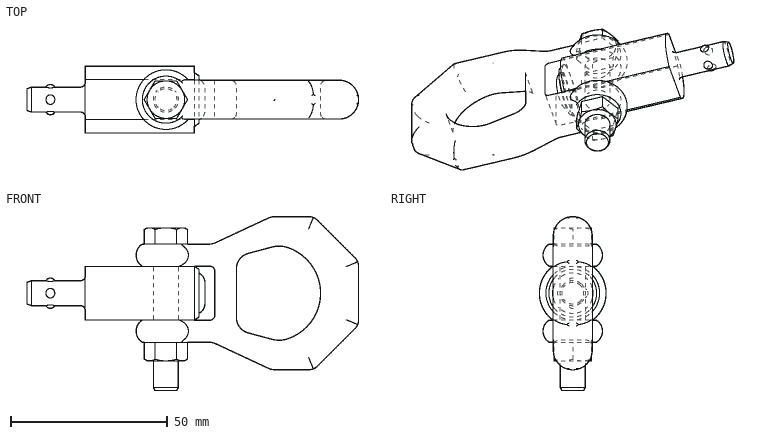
import cadquery as cq
import math


shank_tip_x = -44.5
shank_radius = 4.0
tip_chamfer_length = 1.5
tip_chamfer_depth = 0.5
root_fillet = 1.5
housing_left_x = -25.8
housing_right_x = 9.1
housing_radius = 10.7
housing_half_height = 8.6
ball_x = -37.0
ball_radius = 1.6
ball_reach = 4.9
button_base_radius = housing_half_height
button_rim_radius = 7.6
button_rim_x = 10.6
dome_base_radius = 6.5
dome_mid_radius = 5.5
dome_mid_x = 11.8
dome_flat_radius = 3.7
dome_top_x = 12.5

half_thickness = 6.3
ring_apothem = 24.5
ring_center_x = 37.2
ring_corner_radius = 3.7
arm_half_height = 15.7
shoulder_x = 33.8
shoulder_angle = 25.0
bend_radius = 5.0
arm_edge_fillet = 1.0
slot_end_x = 15.6
slot_corner_radius = 1.5

eye_left_x = 22.6
eye_right_x = 49.5
eye_flat_half = 7.9
eye_corner_radius = 5.0
eye_roof_angle = 15.0
eye_crown_radius = 8.7
eye_crown_x = 36.2
eye_edge_fillet = 2.0

boss_face_radius = 7.5
boss_radius = 9.6
bolt_radius = 4.0
hex_flats = 12.0
hex_chamfer_angle = 30.0
head_height = 5.2
nut_height = 6.0
bolt_end_z = -31.2
bolt_tip_length = 1.1
bolt_tip_depth = 0.5

pick_margin = 0.5


def make_balls():
    """Four locking balls around the shank."""
    center_radius = ball_reach - ball_radius
    balls = cq.Workplane("XY")
    for quarter in range(4):
        angle = math.radians(90 * quarter)
        center = (ball_x, center_radius * math.cos(angle), center_radius * math.sin(angle))
        balls = balls.union(cq.Workplane("XY").sphere(ball_radius).translate(center))
    return balls


def make_shank():
    """Chamfered shank that flares into the housing face through a concave fillet."""
    flare_x = housing_left_x - root_fillet
    flare_radius = shank_radius + root_fillet
    flare_offset = root_fillet * math.sin(math.pi / 4)
    return (
        cq.Workplane("XY")
        .moveTo(shank_tip_x, 0)
        .lineTo(shank_tip_x, shank_radius - tip_chamfer_depth)
        .lineTo(shank_tip_x + tip_chamfer_length, shank_radius)
        .lineTo(flare_x, shank_radius)
        .threePointArc(
            (flare_x + flare_offset, flare_radius - flare_offset),
            (housing_left_x, flare_radius),
        )
        .lineTo(housing_left_x, 0)
        .close()
        .revolve(360, (0, 0, 0), (1, 0, 0))
    )


def make_button():
    """Tapered disc with a flattened dome on the end of the housing."""
    return (
        cq.Workplane("XY")
        .moveTo(housing_right_x, 0)
        .lineTo(housing_right_x, button_base_radius)
        .lineTo(button_rim_x, button_rim_radius)
        .lineTo(button_rim_x, dome_base_radius)
        .threePointArc((dome_mid_x, dome_mid_radius), (dome_top_x, dome_flat_radius))
        .lineTo(dome_top_x, 0)
        .close()
        .revolve(360, (0, 0, 0), (1, 0, 0))
    )


def make_swivel():
    """Housing with two flats and a cross hole for the bolt, plus shank, balls and button."""
    length = housing_right_x - housing_left_x
    barrel = cq.Workplane("YZ").workplane(offset=housing_left_x).circle(housing_radius).extrude(length)
    flats = (
        cq.Workplane("YZ")
        .workplane(offset=housing_left_x)
        .rect(2 * housing_radius, 2 * housing_half_height)
        .extrude(length)
    )
    bolt_hole = cq.Workplane("XY").circle(bolt_radius).extrude(housing_radius, both=True)
    housing = barrel.intersect(flats).cut(bolt_hole)
    return housing.union(make_shank()).union(make_button()).union(make_balls())


def make_outline():
    """Plate outline: two arms that widen at the shoulders into half an octagon."""
    half_side = ring_apothem * math.tan(math.pi / 8)
    rise = ring_apothem - arm_half_height
    bend_x = shoulder_x - rise / math.tan(math.radians(shoulder_angle))
    upper = [
        (0, arm_half_height),
        (bend_x, arm_half_height),
        (shoulder_x, ring_apothem),
        (ring_center_x + half_side, ring_apothem),
        (ring_center_x + ring_apothem, half_side),
    ]
    lower = [(x, -z) for x, z in reversed(upper)]
    plate = cq.Workplane("XZ").polyline(upper + lower).close().extrude(half_thickness, both=True)
    arm_end_x = bend_x - bend_radius
    pick_z = ring_apothem + pick_margin
    shoulders = cq.selectors.BoxSelector(
        (arm_end_x, -pick_margin, -pick_z),
        (shoulder_x + pick_margin, pick_margin, pick_z),
    )
    plate = plate.edges("|Y").edges(shoulders).fillet(bend_radius)
    corners = cq.selectors.BoxSelector(
        (ring_center_x, -pick_margin, -pick_z),
        (ring_center_x + ring_apothem + pick_margin, pick_margin, pick_z),
    )
    return plate.edges("|Y").edges(corners).fillet(ring_corner_radius)


def make_rounded_slab(angle):
    """Slab with one half-round edge, which faces the given direction in the XZ plane."""
    reach = ring_center_x + 2 * ring_apothem
    edge_center = ring_apothem - half_thickness
    slab = (
        cq.Workplane("XY")
        .moveTo(-reach, -half_thickness)
        .lineTo(edge_center, -half_thickness)
        .threePointArc((ring_apothem, 0), (edge_center, half_thickness))
        .lineTo(-reach, half_thickness)
        .close()
        .extrude(reach, both=True)
    )
    return slab.rotate((0, 0, 0), (0, 1, 0), angle).translate((ring_center_x, 0, 0))


def make_slot():
    """Gap between the arms, which takes the housing."""
    return (
        cq.Workplane("XZ")
        .rect(2 * slot_end_x, 2 * housing_half_height)
        .extrude(half_thickness, both=True)
        .edges("|Y and >X")
        .fillet(slot_corner_radius)
    )


def make_eye():
    """Eye opening: flat left side, sloped roof and floor, and tangent arcs that close the right side."""
    roof = math.radians(eye_roof_angle)
    roof_normal = (-math.sin(roof), math.cos(roof))
    corner_x = eye_left_x + eye_corner_radius

    roof_offset = corner_x * roof_normal[0] + eye_flat_half * roof_normal[1] + eye_corner_radius
    crown_z = (roof_offset - eye_crown_radius - eye_crown_x * roof_normal[0]) / roof_normal[1]

    inner_x = eye_right_x - eye_crown_radius
    bow_x = (inner_x**2 - eye_crown_x**2 - crown_z**2) / (2 * (inner_x - eye_crown_x))
    bow_angle = math.atan2(crown_z, eye_crown_x - bow_x)

    def on_arc(center_x, center_z, radius, angle):
        return (center_x + radius * math.cos(angle), center_z + radius * math.sin(angle))

    def mirrored(point):
        return (point[0], -point[1])

    roof_direction = roof + math.pi / 2
    flat_end = (eye_left_x, eye_flat_half)
    corner_mid = on_arc(corner_x, eye_flat_half, eye_corner_radius, (math.pi + roof_direction) / 2)
    roof_start = on_arc(corner_x, eye_flat_half, eye_corner_radius, roof_direction)
    roof_end = on_arc(eye_crown_x, crown_z, eye_crown_radius, roof_direction)
    crown_top = on_arc(eye_crown_x, crown_z, eye_crown_radius, math.pi / 2)
    bow_start = on_arc(eye_crown_x, crown_z, eye_crown_radius, bow_angle)
    return (
        cq.Workplane("XZ")
        .moveTo(*mirrored(flat_end))
        .lineTo(*flat_end)
        .threePointArc(corner_mid, roof_start)
        .lineTo(*roof_end)
        .threePointArc(crown_top, bow_start)
        .threePointArc((eye_right_x, 0), mirrored(bow_start))
        .threePointArc(mirrored(crown_top), mirrored(roof_end))
        .lineTo(*mirrored(roof_start))
        .threePointArc(mirrored(corner_mid), mirrored(flat_end))
        .close()
        .extrude(half_thickness, both=True)
    )


def make_plate():
    """Ring with half-round sides and the two arms."""
    plate = make_outline()
    for angle in (-90, -45, 0, 45, 90):
        plate = plate.intersect(make_rounded_slab(angle))
    return plate


def ease_arms(plate):
    """Round the long edges of both arms, up to the crest of each shoulder."""
    arm_top = arm_half_height - arm_edge_fillet
    for side in (1, -1):
        for face in (1, -1):
            edge_zone = cq.selectors.BoxSelector(
                (arm_edge_fillet, face * arm_edge_fillet, side * arm_top),
                (shoulder_x - bend_radius, face * 2 * half_thickness, side * ring_apothem),
            )
            plate = plate.edges(edge_zone).fillet(arm_edge_fillet)
    return plate


def ease_eye(plate):
    """Round the rim of the eye on both faces."""
    pick_z = ring_apothem - half_thickness - pick_margin
    for face in (1, -1):
        rim_zone = cq.selectors.BoxSelector(
            (eye_left_x - pick_margin, face * (half_thickness - pick_margin), -pick_z),
            (eye_right_x + pick_margin, face * (half_thickness + pick_margin), pick_z),
        )
        plate = plate.edges(rim_zone).fillet(eye_edge_fillet)
    return plate


def make_boss(side):
    """Bulged round boss on one arm; side is 1 above the housing and -1 below."""
    mid_z = (housing_half_height + arm_half_height) / 2
    return (
        cq.Workplane("XZ")
        .moveTo(0, side * housing_half_height)
        .lineTo(boss_face_radius, side * housing_half_height)
        .threePointArc((boss_radius, side * mid_z), (boss_face_radius, side * arm_half_height))
        .lineTo(0, side * arm_half_height)
        .close()
        .revolve(360, (0, 0, 0), (0, 1, 0))
    )


def make_hexagon(height, side):
    """Hexagon on one boss, its outer end chamfered by a cone."""
    corner_radius = hex_flats / math.sqrt(3)
    flat_radius = hex_flats / 2
    chamfer_drop = (corner_radius - flat_radius) * math.tan(math.radians(hex_chamfer_angle))
    end_z = arm_half_height + height
    prism = (
        cq.Workplane("XY")
        .workplane(offset=side * arm_half_height)
        .polygon(6, 2 * corner_radius)
        .extrude(side * height)
    )
    envelope = (
        cq.Workplane("XZ")
        .polyline([
            (0, 0),
            (corner_radius, 0),
            (corner_radius, side * (end_z - chamfer_drop)),
            (flat_radius, side * end_z),
            (0, side * end_z),
        ])
        .close()
        .revolve(360, (0, 0, 0), (0, 1, 0))
    )
    return prism.intersect(envelope)


def make_bolt_shank():
    """Round bolt with a chamfered lower end."""
    return (
        cq.Workplane("XZ")
        .polyline([
            (0, arm_half_height),
            (bolt_radius, arm_half_height),
            (bolt_radius, bolt_end_z + bolt_tip_length),
            (bolt_radius - bolt_tip_depth, bolt_end_z),
            (0, bolt_end_z),
        ])
        .close()
        .revolve(360, (0, 0, 0), (0, 1, 0))
    )


def make_shackle():
    """Ring, arms and bosses in one piece with the bolt that joins the arms."""
    shackle = ease_eye(ease_arms(make_plate()).cut(make_eye())).cut(make_slot())
    for side in (1, -1):
        shackle = shackle.union(make_boss(side))
    shackle = shackle.union(make_hexagon(head_height, 1)).union(make_hexagon(nut_height, -1))
    return shackle.union(make_bolt_shank())


swivel = make_swivel()
shackle = make_shackle()
result = cq.Compound.makeCompound([swivel.val(), shackle.val()])